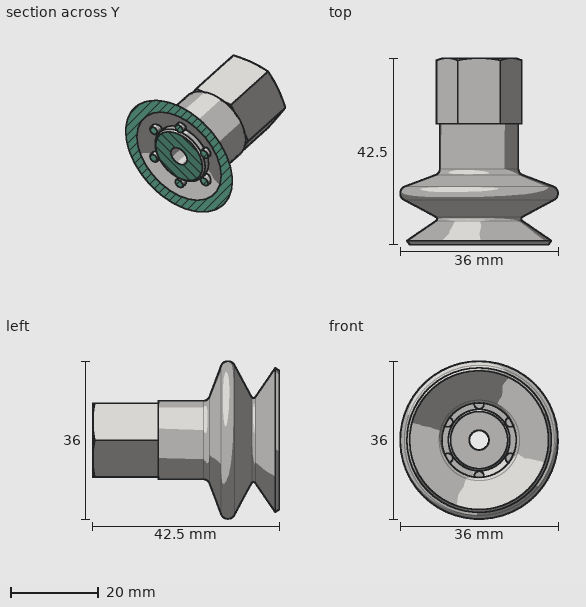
import cadquery as cq
import math


total_length = 42.5
hex_bottom_y = 27.55

wall = 1.15
lip_inner_radius = 15.8

waist_radius = 9.6
waist_fillet = 0.5
waist_y = 5.9

bulge_diameter = 36.0
bulge_fillet = 1.7
bulge_y = 11.75

neck_radius = 8.95
neck_fillet = 1.45
neck_fillet_y = 17.3

pin_count = 6
pin_diameter = 2.2
pin_circle_radius = 8.2
pin_tip_y = 13.15
pin_end_y = 16.15

hex_across_flats = 16.87
hex_chamfer_height = 0.45
stem_radius = 7.0
stem_chamfer = 0.5
stem_bottom_y = 13.95
bore_diameter = 4.4

waist_center = (waist_y, waist_radius + waist_fillet)
bulge_center = (bulge_y, bulge_diameter / 2 - bulge_fillet)
neck_center = (neck_fillet_y, neck_radius + neck_fillet)
hex_across_corners = hex_across_flats / math.cos(math.radians(30))


def offset(point, direction, distance):
    """Point moved along a unit direction."""
    return (point[0] + distance * direction[0], point[1] + distance * direction[1])


def mid_normal(first, second):
    """Unit direction halfway between two unit directions."""
    total = (first[0] + second[0], first[1] + second[1])
    length = math.hypot(*total)
    return (total[0] / length, total[1] / length)


def cross_normal(start, end, radius_sum, side):
    """Unit normal of the line that touches two circles on opposite sides.

    It points from the start circle's centre to its touching point; side is +1 or -1
    and turns it left or right of the line between the centres.
    """
    direction = math.atan2(end[1] - start[1], end[0] - start[0])
    turn = side * math.acos(radius_sum / math.dist(start, end))
    return (math.cos(direction + turn), math.sin(direction + turn))


def revolve_about_y(profile):
    """Full turn about the Y axis of a closed profile drawn as (y, radius)."""
    return profile.close().revolve(360, (0, 0, 0), (1, 0, 0))


def make_cup_shell():
    waist_inner = waist_fillet + wall
    bulge_inner = bulge_fillet - wall
    lip_inner = (0, lip_inner_radius)

    lip_normal = cross_normal(waist_center, lip_inner, waist_inner, 1)
    lower_normal = cross_normal(waist_center, bulge_center, waist_fillet + bulge_fillet, -1)
    upper_normal = cross_normal(neck_center, bulge_center, neck_fillet + bulge_fillet, 1)

    upper_inner = offset(bulge_center, upper_normal, -bulge_inner)
    radial_run = upper_inner[1] - stem_radius
    stem_entry_y = upper_inner[0] + radial_run * upper_normal[1] / upper_normal[0]

    profile = (
        cq.Workplane("YZ")
        .moveTo(*lip_inner)
        .lineTo(*offset(lip_inner, lip_normal, -wall))
        .lineTo(*offset(waist_center, lip_normal, waist_fillet))
        .threePointArc((waist_y, waist_radius), offset(waist_center, lower_normal, waist_fillet))
        .lineTo(*offset(bulge_center, lower_normal, -bulge_fillet))
        .threePointArc((bulge_y, bulge_diameter / 2), offset(bulge_center, upper_normal, -bulge_fillet))
        .lineTo(*offset(neck_center, upper_normal, neck_fillet))
        .threePointArc(
            offset(neck_center, mid_normal(upper_normal, (0, -1)), neck_fillet),
            (neck_fillet_y, neck_radius),
        )
        .lineTo(hex_bottom_y, neck_radius)
        .lineTo(hex_bottom_y, stem_radius)
        .lineTo(stem_entry_y, stem_radius)
        .lineTo(*upper_inner)
        .threePointArc(
            (bulge_y, bulge_center[1] + bulge_inner),
            offset(bulge_center, lower_normal, -bulge_inner),
        )
        .lineTo(*offset(waist_center, lower_normal, waist_inner))
        .threePointArc((waist_y, waist_radius - wall), offset(waist_center, lip_normal, waist_inner))
    )
    return revolve_about_y(profile)


def make_pins():
    """Stop pins, one of them straight up from the axis."""
    return (
        cq.Workplane("XZ", origin=(0, pin_end_y, 0))
        .polarArray(pin_circle_radius, 90, 360, pin_count)
        .circle(pin_diameter / 2)
        .extrude(pin_end_y - pin_tip_y)
    )


def make_cup():
    return make_cup_shell().union(make_pins())


def make_hexagon():
    """Hexagon with corners on the X axis, its free end turned to a shallow cone."""
    corner_radius = hex_across_corners / 2
    prism = (
        cq.Workplane("XZ", origin=(0, total_length, 0))
        .polygon(6, hex_across_corners)
        .extrude(total_length - hex_bottom_y)
    )
    turned_envelope = revolve_about_y(
        cq.Workplane("YZ")
        .moveTo(hex_bottom_y, 0)
        .lineTo(hex_bottom_y, corner_radius)
        .lineTo(total_length - hex_chamfer_height, corner_radius)
        .lineTo(total_length, hex_across_flats / 2)
        .lineTo(total_length, 0)
    )
    return prism.intersect(turned_envelope)


def make_fitting():
    stem = (
        cq.Workplane("XZ", origin=(0, hex_bottom_y, 0))
        .circle(stem_radius)
        .extrude(hex_bottom_y - stem_bottom_y)
        .faces("<Y")
        .chamfer(stem_chamfer)
    )
    bore = (
        cq.Workplane("XZ", origin=(0, total_length, 0))
        .circle(bore_diameter / 2)
        .extrude(total_length)
    )
    return make_hexagon().union(stem).cut(bore)


cup = make_cup()
fitting = make_fitting()

result = cq.Compound.makeCompound([cup.solids().val(), fitting.solids().val()])